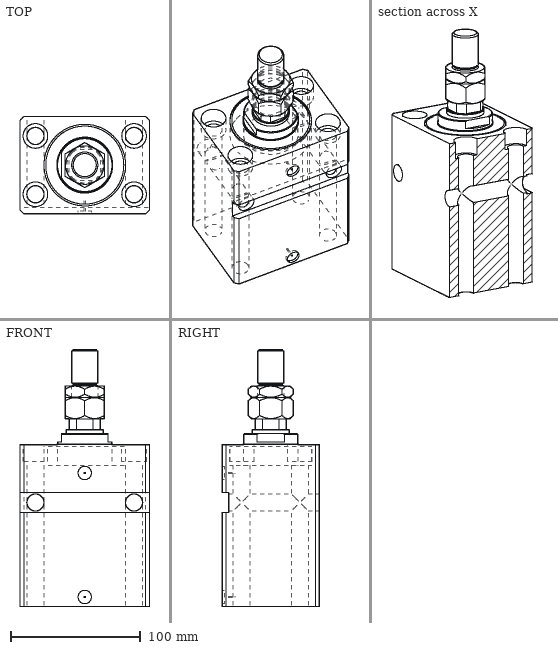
import cadquery as cq
import math

BLOCK_X = 100.0
BLOCK_Y = 75.0
BLOCK_H = 124.7
OVERALL_H = 197.9
CORNER_CHAMFER = 3.0

BOLT_SPACING_X = 76.0
BOLT_SPACING_Y = 45.0
BOLT_HOLE_DIA = 13.0
COUNTERBORE_DIA = 19.0
COUNTERBORE_DEPTH = 13.0
SLOT_WIDTH = 15.2
SLOT_DEPTH = 5.0
SLOT_CENTER_Z = -44.5

PORT_DIA = 10.3
PORT_DEPTH = 2.0
PORT_BORE_DIA = 1.0
PORT_BORE_DEPTH = 9.9
UPPER_PORT_Z = -21.8
LOWER_PORT_Z = 7.3 - BLOCK_H

GLAND_DIA = 63.0
GLAND_DEPTH = 15.8
GLAND_CHAMFER = 1.4
LIP_DIA = 43.1
LIP_HEIGHT = 0.5

ROD_DIA = 42.0
ROD_TOP = 8.5
ROD_FLATS = 36.0
ROD_FLATS_BOTTOM = 2.2
COLLAR_DIA = 28.7
COLLAR_TOP = 11.9
EDGE_CHAMFER = 0.5
SQUARE_DIA = 27.1
SQUARE_FLATS = 24.0
HEX_BOTTOM = 20.0
HEX_TOP = 36.5
STUD_DIA = 20.2
STUD_TOP = OVERALL_H - BLOCK_H
STUD_CHAMFER = 1.2
GROOVE_DIA = 17.8
GROOVE_HEIGHT = 2.4
GROOVE_FLANK = 0.8

HEX_FLATS = 30.0
HEX_CHAMFER_ANGLE = 45
HEX_FACE_DIA = 29.7
NUT_TOP = 45.3


def cylinder(diameter, bottom, top):
    """Upright cylinder on the rod axis."""
    return cq.Workplane("XY").workplane(offset=bottom).circle(diameter / 2).extrude(top - bottom)


def hexagon(bottom, top):
    """Hexagon with flats facing +X and -X, its corners cut by a cone at both ends."""
    corner_dia = HEX_FLATS / math.cos(math.pi / 6)
    corner_r = corner_dia / 2
    face_r = HEX_FACE_DIA / 2
    drop = (corner_r - face_r) * math.tan(math.radians(HEX_CHAMFER_ANGLE))
    prism = (
        cq.Workplane("XY").workplane(offset=bottom)
        .transformed(rotate=(0, 0, 90))
        .polygon(6, corner_dia)
        .extrude(top - bottom)
    )
    envelope = (
        cq.Workplane("XZ")
        .moveTo(0, bottom)
        .lineTo(face_r, bottom)
        .lineTo(corner_r, bottom + drop)
        .lineTo(corner_r, top - drop)
        .lineTo(face_r, top)
        .lineTo(0, top)
        .close()
        .revolve(360, (0, 0), (0, 1))
    )
    return prism.intersect(envelope)


def front_hole(x, z, diameter, depth):
    """Cutter for a hole drilled from the -Y face of the block."""
    return (
        cq.Workplane("XZ", origin=(x, -BLOCK_Y / 2, z))
        .circle(diameter / 2)
        .extrude(-depth)
    )


def make_housing():
    block = (
        cq.Workplane("XY").workplane(offset=-BLOCK_H)
        .rect(BLOCK_X, BLOCK_Y)
        .extrude(BLOCK_H)
        .edges("|Z").chamfer(CORNER_CHAMFER)
    )
    block = (
        block.faces(">Z").workplane(origin=(0, 0, 0))
        .rect(BOLT_SPACING_X, BOLT_SPACING_Y, forConstruction=True)
        .vertices()
        .cboreHole(BOLT_HOLE_DIA, COUNTERBORE_DIA, COUNTERBORE_DEPTH)
    )
    slot_center_y = (SLOT_DEPTH - BLOCK_Y) / 2
    slot = cq.Workplane("XY").box(BLOCK_X, SLOT_DEPTH, SLOT_WIDTH)
    block = block.cut(slot.translate((0, slot_center_y, SLOT_CENTER_Z)))
    for side in (-1, 1):
        block = block.cut(front_hole(side * BOLT_SPACING_X / 2, SLOT_CENTER_Z, BOLT_HOLE_DIA, BLOCK_Y))
    for port_z in (UPPER_PORT_Z, LOWER_PORT_Z):
        block = block.cut(front_hole(0, port_z, PORT_DIA, PORT_DEPTH))
        block = block.cut(front_hole(0, port_z, PORT_BORE_DIA, PORT_BORE_DEPTH))
    return block.cut(cylinder(GLAND_DIA, -GLAND_DEPTH, 0))


def make_gland():
    ring = cylinder(GLAND_DIA, -GLAND_DEPTH, 0).faces(">Z").chamfer(GLAND_CHAMFER)
    lip = cylinder(LIP_DIA, 0, LIP_HEIGHT)
    return ring.union(lip).cut(cylinder(ROD_DIA, -GLAND_DEPTH, LIP_HEIGHT))


def make_stud():
    """Half section of the stud, with its groove and tip chamfer, turned about the rod axis."""
    stud_r = STUD_DIA / 2
    groove_r = GROOVE_DIA / 2
    groove_top = NUT_TOP + GROOVE_HEIGHT
    return (
        cq.Workplane("XZ")
        .moveTo(0, HEX_TOP)
        .lineTo(stud_r, HEX_TOP)
        .lineTo(stud_r, NUT_TOP)
        .lineTo(groove_r, NUT_TOP + GROOVE_FLANK)
        .lineTo(groove_r, groove_top - GROOVE_FLANK)
        .lineTo(stud_r, groove_top)
        .lineTo(stud_r, STUD_TOP - STUD_CHAMFER)
        .lineTo(stud_r - STUD_CHAMFER, STUD_TOP)
        .lineTo(0, STUD_TOP)
        .close()
        .revolve(360, (0, 0), (0, 1))
    )


def make_rod():
    shaft = cylinder(ROD_DIA, -GLAND_DEPTH, ROD_TOP).faces(">Z").chamfer(EDGE_CHAMFER)
    flats_height = ROD_TOP - ROD_FLATS_BOTTOM
    flatted_end = cq.Workplane("XY").box(ROD_FLATS, ROD_DIA, flats_height, centered=(True, True, False))
    plain_end = cylinder(ROD_DIA, -GLAND_DEPTH, ROD_FLATS_BOTTOM)
    shaft = shaft.intersect(plain_end.union(flatted_end.translate((0, 0, ROD_FLATS_BOTTOM))))

    collar = cylinder(COLLAR_DIA, ROD_TOP, COLLAR_TOP).faces(">Z").chamfer(EDGE_CHAMFER)
    square_height = HEX_BOTTOM - COLLAR_TOP
    square = cq.Workplane("XY").box(SQUARE_FLATS, SQUARE_FLATS, square_height, centered=(True, True, False))
    square = square.translate((0, 0, COLLAR_TOP)).intersect(cylinder(SQUARE_DIA, COLLAR_TOP, HEX_BOTTOM))
    stud = make_stud()
    return shaft.union(collar).union(square).union(hexagon(HEX_BOTTOM, HEX_TOP)).union(stud)


def make_lock_nut():
    return hexagon(HEX_TOP, NUT_TOP).cut(cylinder(STUD_DIA, HEX_TOP, NUT_TOP))


housing = make_housing()
gland = make_gland()
rod = make_rod()
lock_nut = make_lock_nut()

bodies = [housing, gland, rod, lock_nut]
result = cq.Compound.makeCompound([body.solids().val() for body in bodies])